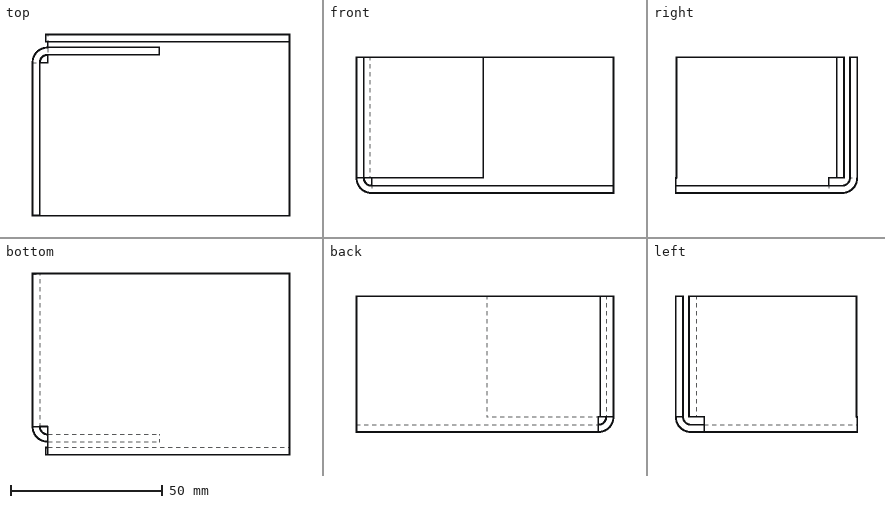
import cadquery as cq

length = 85.0
depth = 60.0
height = 45.0

sheet = 2.5
bend_radius = 5.0

back_wall_left = 4.3
flange_gap = 1.9
flange_right = 42.0
side_wall_setback = 0.25

back_wall_front = depth - sheet
flange_back = back_wall_front - flange_gap
side_wall_back = flange_back - bend_radius
side_wall_height = height - bend_radius


def block(x_range, y_range, z_range):
    """Axis-aligned plate between the given limits."""
    lows, highs = zip(x_range, y_range, z_range)
    sizes = [high - low for low, high in zip(lows, highs)]
    return cq.Workplane("XY").box(*sizes, centered=False).translate(lows)


def bend(plane, extent):
    """Quarter ring filling the lower-left quadrant of the plane, extruded along its normal."""
    inner_radius = bend_radius - sheet
    ring = cq.Workplane(plane).circle(bend_radius).circle(inner_radius).extrude(extent)
    quadrant = cq.Workplane(plane).rect(-bend_radius, -bend_radius, centered=False).extrude(extent)
    return ring.intersect(quadrant)


base = block((bend_radius, length), (0, depth - bend_radius), (0, sheet))
back_wall = block((back_wall_left, length), (back_wall_front, depth), (bend_radius, height))
side_wall = block((0, sheet), (side_wall_setback, side_wall_back), (bend_radius, height))
flange = block((bend_radius, flange_right), (flange_back - sheet, flange_back), (bend_radius, height))

side_plane = cq.Plane(origin=(bend_radius, 0, bend_radius), xDir=(1, 0, 0), normal=(0, -1, 0))
side_bend = bend(side_plane, -side_wall_back)

back_plane = cq.Plane(
    origin=(bend_radius, depth - bend_radius, bend_radius), xDir=(0, -1, 0), normal=(-1, 0, 0)
)
back_bend = bend(back_plane, bend_radius - length)

flange_plane = cq.Plane(
    origin=(bend_radius, side_wall_back, bend_radius), xDir=(1, 0, 0), normal=(0, 0, -1)
)
flange_bend = bend(flange_plane, -side_wall_height)

result = base
for piece in (side_bend, back_bend, side_wall, back_wall, flange_bend, flange):
    result = result.union(piece)